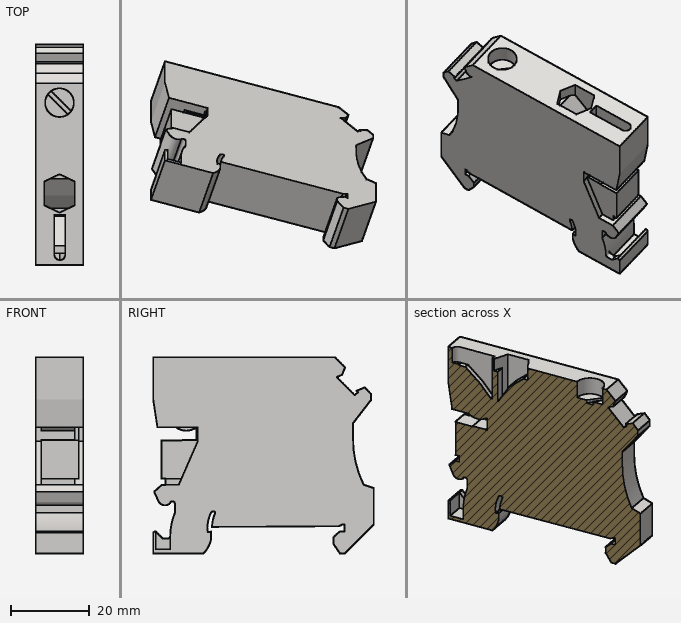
import cadquery as cq

WIDTH = 12.15
DEPTH = 56.0
HEIGHT = 49.85
SIDE = WIDTH / 2

RAIL_SEAT_Z = 6.7
RAIL_HOOK_Z = 5.6
SHELF_Z = 17.4
SHELF_BACK_Y = 6.5
MOUTH_ROOF_Z = 32.0
MOUTH_BACK_Y = 11.3
MOUTH_BACK_Z = 28.45

CLAMP_LEFT = -4.6
CLAMP_RIGHT = 4.9
CLAMP_FRONT_Y = 2.1
CLAMP_BOTTOM_Z = 19.0
CLAMP_TOP_Z = 28.7
FOOT_RIGHT = 3.8
FOOT_FRONT_Y = 3.15
SIDE_PLATE_FRONT_Y = 11.0
PAD_FRONT_Y = 7.05
PAD_CURVE_Y = 7.9
PAD_TOP_Z = 28.85
ROLL_Y = 8.4
ROLL_HALF_CHORD = 2.5
ROLL_DROP = 0.85

LIP_BACK_Y = 0.7
LIP_POCKET_LEFT = -4.6
LIP_POCKET_FLOOR_Z = 1.1
THROAT_FLOOR_Z = 3.85
THROAT_FOOT_Y = 4.3
THROAT_FOOT_Z = 4.4

SCREW_Y = 41.2
SCREW_RADIUS = 3.65
SCREW_HEAD_DEPTH = 4.6
DRIVER_SLOT_WIDTH = 1.2
DRIVER_SLOT_DEPTH = 0.85
DRIVER_SLOT_ANGLE = -45.0

HEX_Y = 18.2
HEX_HALF_WIDTH = 3.85
HEX_HALF_FLAT = 3.0
HEX_HALF_LENGTH = 4.9
HEX_DEPTH = 3.35
FUNNEL_FRONT_Y = 14.45
FUNNEL_BACK_Y = 21.9
FUNNEL_BEND_Y = 17.65
FUNNEL_BEND_DEPTH = 6.95
FUNNEL_DEPTH = 12.0

TOOL_SLOT_X = 0.085
TOOL_SLOT_WIDTH = 2.75
TOOL_SLOT_FRONT_Y = 1.3
TOOL_SLOT_BACK_Y = 12.75
TOOL_SLOT_DEPTH = 4.5
TOOL_TIP_Y = 3.1
TOOL_TIP_RISE = 0.3
TOOL_RAMP_FRONT_Y = 5.0
TOOL_RAMP_BEND_Y = 9.3
TOOL_RAMP_BACK_Y = 12.4
TOOL_RAMP_BEND_DEPTH = 8.1
TOOL_RAMP_DEPTH = 11.6


def box(x0, x1, y0, y1, z0, z1):
    """Box between two limits along each axis."""
    return cq.Workplane("XY").box(x1 - x0, y1 - y0, z1 - z0, centered=False).translate((x0, y0, z0))


def side_prism(points, x0, x1):
    """Closed (y, z) outline extruded from x0 to x1."""
    return cq.Workplane("YZ").workplane(offset=x0).polyline(points).close().extrude(x1 - x0)


def make_housing():
    """Side outline of the housing, followed from the top front corner, over the full width."""
    outline = (
        cq.Workplane("YZ")
        .workplane(offset=-SIDE)
        .moveTo(0, HEIGHT)
        .lineTo(0, 39.05)
        .lineTo(1.05, MOUTH_ROOF_Z)
        .lineTo(MOUTH_BACK_Y, MOUTH_ROOF_Z)
        .lineTo(MOUTH_BACK_Y, MOUTH_BACK_Z)
        .lineTo(SHELF_BACK_Y, SHELF_Z)
        .lineTo(2.2, SHELF_Z)
        .lineTo(0.2, 15.7)
        .lineTo(1.4, 13.1)
        .threePointArc((3.0, 12.2), (4.3, 12.75))
        .threePointArc((5.05, 13.2), (5.5, 12.65))
        .lineTo(5.5, 10.3)
        .threePointArc((4.75, 8.05), (THROAT_FOOT_Y, THROAT_FOOT_Z))
        .threePointArc((4.15, 4.05), (3.75, THROAT_FLOOR_Z))
        .lineTo(2.4, THROAT_FLOOR_Z)
        .lineTo(LIP_BACK_Y, RAIL_HOOK_Z)
        .threePointArc((0.2, 5.5), (0, 5.2))
        .lineTo(0, 0)
        .lineTo(12.75, 0)
        .threePointArc((14.0, 1.6), (14.7, 3.6))
        .lineTo(14.7, RAIL_HOOK_Z)
        .lineTo(13.9, 5.45)
        .lineTo(13.8, 6.5)
        .threePointArc((14.05, 8.55), (14.7, 10.3))
        .threePointArc((15.25, 10.7), (15.75, 10.3))
        .threePointArc((15.1, 8.45), (14.9, RAIL_SEAT_Z))
        .lineTo(47.15, 6.9)
        .lineTo(48.15, 7.4)
        .lineTo(48.5, 7.4)
        .lineTo(48.5, RAIL_HOOK_Z)
        .lineTo(47.45, RAIL_HOOK_Z)
        .lineTo(46.9, 5.25)
        .lineTo(45.7, 4.1)
        .lineTo(45.7, 2.45)
        .lineTo(47.4, 0)
        .lineTo(48.65, 0)
        .lineTo(DEPTH, 7.35)
        .lineTo(DEPTH, 16.65)
        .lineTo(53.4, 17.5)
        .threePointArc((51.6, 22.45), (50.75, 29.25))
        .lineTo(50.75, 33.05)
        .lineTo(55.3, 38.9)
        .lineTo(55.3, 40.5)
        .lineTo(53.7, 42.15)
        .lineTo(51.6, 41.3)
        .lineTo(51.95, 40.95)
        .lineTo(51.1, 40.2)
        .lineTo(46.6, 44.75)
        .lineTo(47.95, 45.3)
        .lineTo(48.7, 47.2)
        .lineTo(46.1, HEIGHT)
        .close()
    )
    return outline.extrude(WIDTH)


def make_clamp():
    """Clamp block on its foot, with the pad on top and the side plate behind it."""
    block = box(CLAMP_LEFT, CLAMP_RIGHT, CLAMP_FRONT_Y, MOUTH_BACK_Y, CLAMP_BOTTOM_Z, CLAMP_TOP_Z)
    foot = box(CLAMP_LEFT, FOOT_RIGHT, FOOT_FRONT_Y, MOUTH_BACK_Y, SHELF_Z, CLAMP_BOTTOM_Z)
    pad_curve_mid_y = (PAD_FRONT_Y + PAD_CURVE_Y) / 2
    pad_curve_mid_z = PAD_TOP_Z - (PAD_TOP_Z - CLAMP_TOP_Z) / 4
    pad = (
        cq.Workplane("YZ")
        .workplane(offset=CLAMP_LEFT)
        .moveTo(SIDE_PLATE_FRONT_Y, CLAMP_TOP_Z)
        .lineTo(SIDE_PLATE_FRONT_Y, PAD_TOP_Z)
        .lineTo(PAD_CURVE_Y, PAD_TOP_Z)
        .threePointArc((pad_curve_mid_y, pad_curve_mid_z), (PAD_FRONT_Y, CLAMP_TOP_Z))
        .close()
        .extrude(FOOT_RIGHT - CLAMP_LEFT)
    )
    side_plate = box(
        FOOT_RIGHT, CLAMP_RIGHT, SIDE_PLATE_FRONT_Y, MOUTH_BACK_Y, CLAMP_TOP_Z, MOUTH_ROOF_Z
    )
    return block.union(foot).union(pad).union(side_plate)


def make_roll():
    """Round underside of the wire seat, bulging from the roof of the mouth."""
    return (
        cq.Workplane("YZ")
        .workplane(offset=CLAMP_LEFT)
        .moveTo(ROLL_Y - ROLL_HALF_CHORD, MOUTH_ROOF_Z)
        .threePointArc((ROLL_Y, MOUTH_ROOF_Z - ROLL_DROP), (ROLL_Y + ROLL_HALF_CHORD, MOUTH_ROOF_Z))
        .close()
        .extrude(FOOT_RIGHT - CLAMP_LEFT)
    )


def make_screw_hole():
    """Round hole down to the screw head, plus the driver slot trimmed to the head."""
    top = cq.Workplane("XY").workplane(offset=HEIGHT).center(0, SCREW_Y)
    hole = top.circle(SCREW_RADIUS).extrude(-SCREW_HEAD_DEPTH)
    head = top.circle(SCREW_RADIUS).extrude(-SCREW_HEAD_DEPTH - DRIVER_SLOT_DEPTH)
    slot = (
        top.transformed(rotate=(0, 0, DRIVER_SLOT_ANGLE))
        .rect(2 * SCREW_RADIUS, DRIVER_SLOT_WIDTH)
        .extrude(-SCREW_HEAD_DEPTH - DRIVER_SLOT_DEPTH)
    )
    return hole.union(slot.intersect(head))


def make_wire_entry():
    """Hexagonal pocket whose floor drops through a two-slope funnel toward the front."""
    corners = [
        (0, HEX_HALF_LENGTH),
        (HEX_HALF_WIDTH, HEX_HALF_FLAT),
        (HEX_HALF_WIDTH, -HEX_HALF_FLAT),
        (0, -HEX_HALF_LENGTH),
        (-HEX_HALF_WIDTH, -HEX_HALF_FLAT),
        (-HEX_HALF_WIDTH, HEX_HALF_FLAT),
    ]
    top = cq.Workplane("XY").workplane(offset=HEIGHT).center(0, HEX_Y)
    pocket = top.polyline(corners).close().extrude(-HEX_DEPTH)
    shaft = top.polyline(corners).close().extrude(-FUNNEL_DEPTH)
    funnel = side_prism(
        [
            (FUNNEL_FRONT_Y, HEIGHT),
            (FUNNEL_BACK_Y, HEIGHT),
            (FUNNEL_BACK_Y, HEIGHT - HEX_DEPTH),
            (FUNNEL_BEND_Y, HEIGHT - FUNNEL_BEND_DEPTH),
            (FUNNEL_FRONT_Y, HEIGHT - FUNNEL_DEPTH),
        ],
        -HEX_HALF_WIDTH,
        HEX_HALF_WIDTH,
    )
    return pocket.union(funnel.intersect(shaft))


def make_tool_slot():
    """Slot with a round front end, a roof-shaped tip floor and a ramp down toward the back."""
    half = TOOL_SLOT_WIDTH / 2
    left = TOOL_SLOT_X - half
    right = TOOL_SLOT_X + half
    round_y = TOOL_SLOT_FRONT_Y + half
    plan = (
        cq.Workplane("XY")
        .workplane(offset=HEIGHT)
        .moveTo(left, TOOL_SLOT_BACK_Y)
        .lineTo(left, round_y)
        .threePointArc((TOOL_SLOT_X, TOOL_SLOT_FRONT_Y), (right, round_y))
        .lineTo(right, TOOL_SLOT_BACK_Y)
        .close()
        .extrude(-TOOL_RAMP_DEPTH)
    )
    floor_z = HEIGHT - TOOL_SLOT_DEPTH
    profile = side_prism(
        [
            (TOOL_SLOT_FRONT_Y, HEIGHT),
            (TOOL_SLOT_FRONT_Y, floor_z),
            (TOOL_RAMP_FRONT_Y, floor_z),
            (TOOL_RAMP_BEND_Y, HEIGHT - TOOL_RAMP_BEND_DEPTH),
            (TOOL_RAMP_BACK_Y, HEIGHT - TOOL_RAMP_DEPTH),
            (TOOL_SLOT_BACK_Y, HEIGHT - TOOL_RAMP_DEPTH),
            (TOOL_SLOT_BACK_Y, HEIGHT),
        ],
        left,
        right,
    )
    tip_roof = (
        cq.Workplane("XZ")
        .workplane(offset=-TOOL_TIP_Y)
        .moveTo(left, floor_z)
        .lineTo(right, floor_z)
        .lineTo(TOOL_SLOT_X, floor_z + TOOL_TIP_RISE)
        .close()
        .extrude(TOOL_TIP_Y - TOOL_SLOT_FRONT_Y)
    )
    return profile.intersect(plan).cut(tip_roof)


def make_lip_pocket():
    """Pocket that turns the release lip into a thin upright wall."""
    return box(LIP_POCKET_LEFT, SIDE, LIP_BACK_Y, THROAT_FOOT_Y, LIP_POCKET_FLOOR_Z, RAIL_HOOK_Z)


result = make_housing().union(make_clamp()).union(make_roll())
openings = [make_screw_hole(), make_wire_entry(), make_tool_slot(), make_lip_pocket()]
for opening in openings:
    result = result.cut(opening)